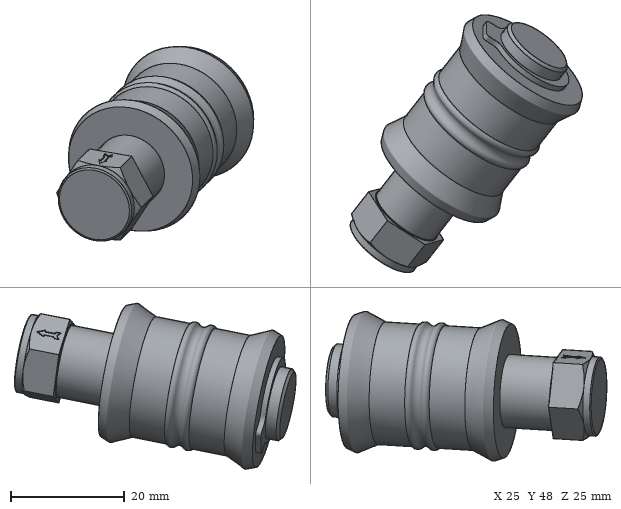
import cadquery as cq
import math


total_length = 48.0
shank_radius = 6.5
shank_chamfer = 0.55

hex_across_flats = 14.0
hex_corner_radius = hex_across_flats / math.sqrt(3)
tip_radius = hex_across_flats / 2
tip_length = 1.45
tip_chamfer_radial = 0.35
tip_chamfer_axial = 0.2
hex_back = 7.4
hex_chamfer_angle = math.radians(32)
hex_chamfer_overrun = 0.5
washer_face_radius = 6.6
washer_face_thickness = 0.15

arrow_tip = 2.45
arrow_barb = 3.85
arrow_tail = 6.6
arrow_half_width = 0.7
arrow_shaft_half_width = 0.4
feather_length = 0.7
feather_slant = 0.35
arrow_notch = 0.55
arrow_depth = 0.2

roller_front = 16.5
roller_length = 28.0
roller_middle = roller_front + roller_length / 2
roller_back = roller_front + roller_length
roller_radius = 10.85
rim_diameter = 25.0
rim_radius = rim_diameter / 2
rim_shoulder_radius = 12.45
rim_round_width = 0.45
flange_face_radius = 11.85
rim_bevel_width = 1.5
flange_width = 5.4

bead_peak_radius = 11.3
bead_round = 0.8
bead_offset = 1.5
groove_round = 1.25
bead_center = bead_peak_radius - bead_round
bead_foot_offset = bead_offset + math.sqrt(bead_round**2 - (roller_radius - bead_center) ** 2)

ring_thickness = 1.0
ring_radius = 7.7
ring_center_x = -0.55
tongue_end_x = 9.6
tongue_corner_radius = 0.75
tongue_half_width = 3.0
tongue_fillet = 1.75


def cylinder(radius, start, end):
    """Cylinder on the Y axis between two Y positions."""
    return cq.Workplane("XZ", origin=(0, start, 0)).circle(radius).extrude(start - end)


def revolve(profile):
    """Turn a closed (radius, Y) profile round the Y axis."""
    return profile.close().revolve(360, (0, 0, 0), (0, 1, 0))


def make_shank():
    return cylinder(shank_radius, tip_length, total_length).faces(">Y").chamfer(shank_chamfer)


def make_head():
    hexagon = (
        cq.Workplane("XZ", origin=(0, tip_length, 0))
        .polygon(6, 2 * hex_corner_radius)
        .extrude(tip_length - hex_back)
    )
    cone_radius = hex_corner_radius + hex_chamfer_overrun
    cone_length = (cone_radius - tip_radius) * math.tan(hex_chamfer_angle)
    envelope = revolve(
        cq.Workplane("XY")
        .moveTo(0, tip_length)
        .lineTo(tip_radius, tip_length)
        .lineTo(cone_radius, tip_length + cone_length)
        .lineTo(cone_radius, hex_back)
        .lineTo(0, hex_back)
    )
    tip = revolve(
        cq.Workplane("XY")
        .lineTo(tip_radius - tip_chamfer_radial, 0)
        .lineTo(tip_radius, tip_chamfer_axial)
        .lineTo(tip_radius, tip_length)
        .lineTo(0, tip_length)
    )
    washer_face = cylinder(washer_face_radius, hex_back, hex_back + washer_face_thickness)
    return hexagon.intersect(envelope).union(tip).union(washer_face)


def make_arrow():
    """Cutter for the engraved arrow, symmetric about X = 0."""
    feather_front = arrow_tail - feather_length
    right_side = [
        (arrow_half_width, arrow_barb),
        (arrow_shaft_half_width, arrow_barb),
        (arrow_shaft_half_width, feather_front - feather_slant),
        (arrow_half_width, feather_front),
        (arrow_half_width, arrow_tail),
    ]
    left_side = [(-x, y) for x, y in reversed(right_side)]
    outline = [(0, arrow_tip)] + right_side + [(0, arrow_tail - arrow_notch)] + left_side
    flat_height = hex_across_flats / 2
    return (
        cq.Workplane("XY", origin=(0, 0, flat_height))
        .polyline(outline)
        .close()
        .extrude(-arrow_depth)
    )


def make_roller():
    front_body = cylinder(roller_radius, roller_front, roller_middle - bead_foot_offset)
    front_half = front_body.union(make_front_flange())
    back_half = front_half.mirror("XZ", (0, roller_middle, 0))
    return make_beads().union(front_half).union(back_half)


def make_front_flange():
    """Bevel out to a rounded rim, then a taper down to the roller body."""
    rim_start = roller_front + rim_bevel_width
    rim_end = rim_start + rim_round_width
    flange_end = roller_front + flange_width
    return revolve(
        cq.Workplane("XY")
        .moveTo(0, roller_front)
        .lineTo(flange_face_radius, roller_front)
        .lineTo(rim_shoulder_radius, rim_start)
        .threePointArc((rim_radius, (rim_start + rim_end) / 2), (rim_shoulder_radius, rim_end))
        .lineTo(roller_radius, flange_end)
        .lineTo(0, flange_end)
    )


def make_beads():
    """Ring of two convex beads, tangent to the concave groove between them."""
    center_distance = bead_round + groove_round
    blend_angle = math.asin(bead_offset / center_distance)
    groove_center = bead_center + center_distance * math.cos(blend_angle)
    groove_bottom = groove_center - groove_round
    blend_radius = groove_center - groove_round * math.cos(blend_angle)
    blend_offset = groove_round * math.sin(blend_angle)

    return revolve(
        cq.Workplane("XY")
        .moveTo(0, roller_middle - bead_foot_offset)
        .lineTo(roller_radius, roller_middle - bead_foot_offset)
        .threePointArc(
            (bead_peak_radius, roller_middle - bead_offset),
            (blend_radius, roller_middle - blend_offset),
        )
        .threePointArc(
            (groove_bottom, roller_middle),
            (blend_radius, roller_middle + blend_offset),
        )
        .threePointArc(
            (bead_peak_radius, roller_middle + bead_offset),
            (roller_radius, roller_middle + bead_foot_offset),
        )
        .lineTo(0, roller_middle + bead_foot_offset)
    )


def make_retaining_ring():
    ring_front = cq.Workplane("XZ", origin=(0, roller_back, 0))
    disc = ring_front.center(ring_center_x, 0).circle(ring_radius).extrude(-ring_thickness)
    tongue_length = tongue_end_x - ring_center_x
    tongue = (
        ring_front.center(ring_center_x + tongue_length / 2, 0)
        .rect(tongue_length, 2 * tongue_half_width)
        .extrude(-ring_thickness)
        .edges("|Y and >X")
        .fillet(tongue_corner_radius)
    )
    ring = disc.union(tongue)
    root_x = ring_center_x + math.sqrt(ring_radius**2 - tongue_half_width**2)
    root_y = roller_back + ring_thickness / 2
    for side in (-1, 1):
        root = cq.selectors.NearestToPointSelector((root_x, root_y, side * tongue_half_width))
        ring = ring.edges("|Y").edges(root).fillet(tongue_fillet)
    return ring


result = (
    make_shank()
    .union(make_head())
    .cut(make_arrow())
    .union(make_roller())
    .union(make_retaining_ring())
)